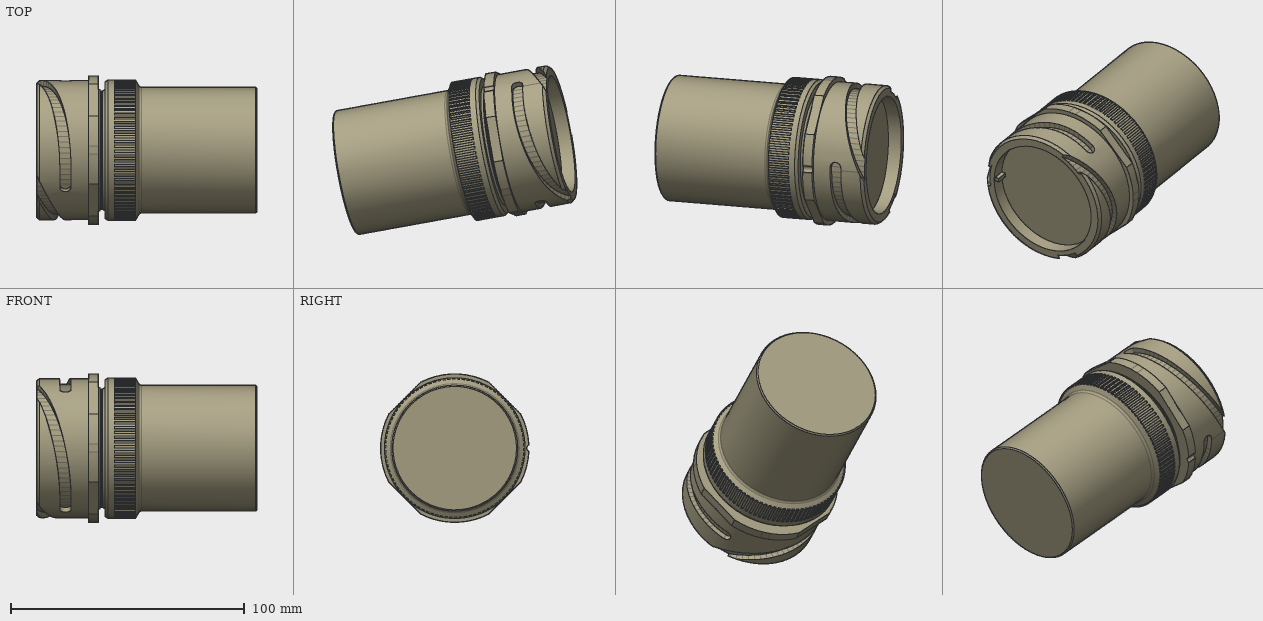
import cadquery as cq
import math

total_length = 94.3
shell_end = 22.3
flange_end = 26.5
collar_end = 27.2
fine_groove_start = 27.6
fine_groove_end = 28.1
valley_end = 28.3
ring_start = 29.2
knurl_start = 33.4
ring_end = 42.3

shell_radius = 29.8
shell_chamfer_length = 1.3
shell_chamfer_depth = 1.0
neck_radius = 26.0
valley_depth = 0.7
fine_groove_depth = 0.3
ring_radius = 30.1
ring_chamfer_length = 1.3
ring_chamfer_depth = 0.85
ring_cone_angle = 60.0
cone_blend_length = 0.8
tube_radius = 27.0
tube_chamfer = 0.6

flange_radius = 31.8
flange_side_width = 63.5
flange_diagonal_width = 60.5
notch_radius = 1.5
notch_center = 32.35

recess_radius = 25.3
recess_depth = 5.8
key_height = 1.9
key_width = 1.8
key_setback = 0.8

slot_count = 3
slot_spacing = 360.0 / slot_count
slot_width = 4.8
slot_floor_radius = 27.4
slot_cutter_radius = 33.0
slot_rest_x = 12.4
slot_rise = 0.0011
slot_round_angle = -62.0
slot_rest_angle = -46.0
slot_mouth_angle = 85.0
slot_step = 4.9

groove_count = 90
groove_width = 1.0
groove_depth = 0.6
groove_offset_angle = -1.1


def turned_body():
    """Solid of revolution about X: shell, neck, ring and tube."""
    valley_radius = neck_radius - valley_depth
    fine_groove_radius = valley_radius - fine_groove_depth
    slope = math.radians(ring_cone_angle)
    cone_foot = ring_end + (ring_radius - tube_radius) / math.tan(slope)
    blend_x = cone_foot - cone_blend_length * math.cos(slope)
    blend_radius = tube_radius + cone_blend_length * math.sin(slope)
    profile = (
        cq.Workplane("XY")
        .moveTo(0, 0)
        .lineTo(0, shell_radius - shell_chamfer_depth)
        .lineTo(shell_chamfer_length, shell_radius)
        .lineTo(shell_end, shell_radius)
        .lineTo(shell_end, neck_radius)
        .lineTo(collar_end, neck_radius)
        .lineTo(collar_end, valley_radius)
        .lineTo(fine_groove_start, valley_radius)
        .lineTo(fine_groove_start, fine_groove_radius)
        .lineTo(fine_groove_end, fine_groove_radius)
        .lineTo(fine_groove_end, valley_radius)
        .lineTo(valley_end, valley_radius)
        .lineTo(ring_start, neck_radius)
        .lineTo(ring_start, ring_radius - ring_chamfer_depth)
        .lineTo(ring_start + ring_chamfer_length, ring_radius)
        .lineTo(ring_end, ring_radius)
        .lineTo(blend_x, blend_radius)
        .tangentArcPoint((cone_foot + cone_blend_length, tube_radius), relative=False)
        .lineTo(total_length - tube_chamfer, tube_radius)
        .lineTo(total_length, tube_radius - tube_chamfer)
        .lineTo(total_length, 0)
        .close()
    )
    return profile.revolve(360, (0, 0, 0), (1, 0, 0))


def flange():
    """Disc with broad diagonal flats, slight side flats and a notch at +Y."""
    thickness = flange_end - shell_end
    plane = cq.Workplane("YZ", origin=(shell_end, 0, 0))
    disc = plane.circle(flange_radius).extrude(thickness)
    sides = plane.rect(flange_side_width, flange_side_width).extrude(thickness)
    diagonals = (
        plane.rect(flange_diagonal_width, flange_diagonal_width)
        .extrude(thickness)
        .rotate((0, 0, 0), (1, 0, 0), 45)
    )
    notch = plane.center(notch_center, 0).circle(notch_radius).extrude(thickness)
    return disc.intersect(sides).intersect(diagonals).cut(notch)


def slot_section(angle):
    """Radial rectangle across the slot at an angle turned from -Y towards +Z."""
    center_x = slot_rest_x - slot_rise * max(angle - slot_rest_angle, 0) ** 2
    out_y = -math.cos(math.radians(angle))
    out_z = math.sin(math.radians(angle))
    corners = [
        cq.Vector(center_x + side * slot_width / 2, radius * out_y, radius * out_z)
        for side, radius in (
            (-1, slot_floor_radius),
            (1, slot_floor_radius),
            (1, slot_cutter_radius),
            (-1, slot_cutter_radius),
        )
    ]
    return cq.Wire.makePolygon(corners, close=True)


def slot_cutter():
    """Faceted curved slot, open at the front face and round at its blind end."""
    span = slot_mouth_angle - slot_round_angle
    step_count = round(span / slot_step)
    angles = [slot_round_angle + span * i / step_count for i in range(step_count + 1)]
    sections = [slot_section(angle) for angle in angles]
    channel = cq.Solid.makeLoft(sections, True)
    round_end = (
        cq.Workplane("XZ", origin=(slot_rest_x, -slot_floor_radius, 0))
        .circle(slot_width / 2)
        .extrude(slot_cutter_radius - slot_floor_radius)
        .rotate((0, 0, 0), (1, 0, 0), -slot_round_angle)
    )
    return round_end.union(cq.Workplane(channel))


def cut_slots(body):
    cutter = slot_cutter()
    for i in range(slot_count):
        body = body.cut(cutter.rotate((0, 0, 0), (1, 0, 0), i * slot_spacing))
    return body


def cut_knurl(body):
    """Straight grooves along the ring, open towards the cone."""
    grooves = (
        cq.Workplane("YZ", origin=(knurl_start, 0, 0))
        .polarArray(ring_radius, groove_offset_angle, 360, groove_count)
        .rect(2 * groove_depth, groove_width)
        .extrude(ring_end - knurl_start)
    )
    return body.cut(grooves)


def recess():
    """Shallow round recess that leaves a key standing on its +Y wall."""
    pocket = cq.Workplane("YZ").circle(recess_radius).extrude(recess_depth)
    key = cq.Workplane("XY").box(
        recess_depth - key_setback, 2 * key_height, key_width, centered=(False, True, True)
    )
    return pocket.cut(key.translate((key_setback, recess_radius, 0)))


body = turned_body().union(flange())
body = body.cut(recess())
body = cut_slots(body)
result = cut_knurl(body)